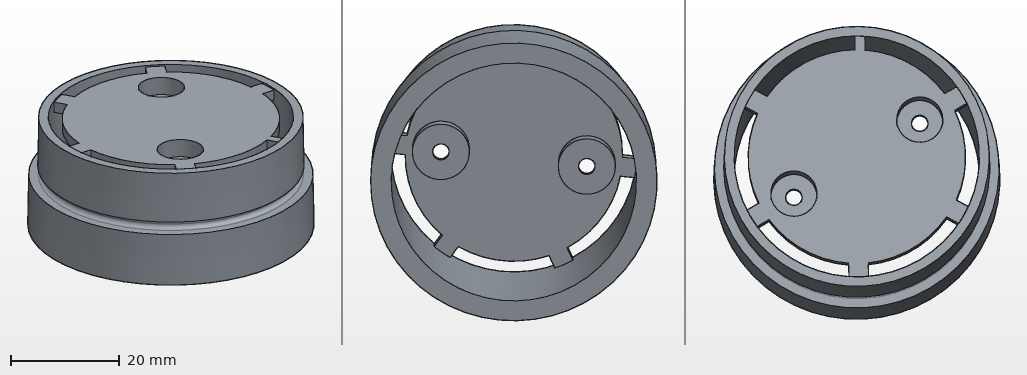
import cadquery as cq
import math

height = 21.8
base_bottom_diameter = 52.7
base_top_diameter = 52.35
base_height = 10.2
groove_top = 11.95
groove_diameter = 47.05
groove_fillet = 0.9
collar_bottom_diameter = 49.0
collar_top_diameter = 48.7
bore_diameter = 45.1

plate_recess = 0.3
plate_thickness = 2.05
plate_diameter = 40.0
tab_width = 3.65
key_tab_angle = 30
tab_count = 6

screw_circle_radius = 13.5
screw_angles = (150, 330)
screw_hole_diameter = 3.0
cup_diameter = 8.5
cup_outer_diameter = 10.5
cup_depth = 3.5

plate_top = height - plate_recess
plate_bottom = plate_top - plate_thickness
cup_floor = plate_top - cup_depth
cup_wall = (cup_outer_diameter - cup_diameter) / 2
cup_bottom = cup_floor - cup_wall
tab_overlap = 0.25


def cylinder(diameter, bottom, top):
    return cq.Workplane("XY").workplane(offset=bottom).circle(diameter / 2).extrude(top - bottom)


def make_shell():
    """Revolve the wall section, with a concave fillet at the foot of the groove."""
    groove_radius = groove_diameter / 2
    fillet_offset = groove_fillet * (1 - math.sqrt(0.5))
    return (
        cq.Workplane("XZ")
        .moveTo(bore_diameter / 2, 0)
        .lineTo(base_bottom_diameter / 2, 0)
        .lineTo(base_top_diameter / 2, base_height)
        .lineTo(groove_radius + groove_fillet, base_height)
        .threePointArc(
            (groove_radius + fillet_offset, base_height + fillet_offset),
            (groove_radius, base_height + groove_fillet),
        )
        .lineTo(groove_radius, groove_top)
        .lineTo(collar_bottom_diameter / 2, groove_top)
        .lineTo(collar_top_diameter / 2, height)
        .lineTo(bore_diameter / 2, height)
        .close()
        .revolve(360, (0, 0, 0), (0, 1, 0))
    )


def make_tab(angle):
    """Radial bar from the plate centre into the shell; the key tab keeps only its clockwise half."""
    is_key = angle == key_tab_angle
    width = tab_width / 2 if is_key else tab_width
    side_shift = -width / 2 if is_key else 0
    length = bore_diameter / 2 + tab_overlap
    return (
        cq.Workplane("XY")
        .box(length, width, plate_thickness, centered=(False, True, False))
        .translate((0, side_shift, plate_bottom))
        .rotate((0, 0, 0), (0, 0, 1), angle)
    )


def at_screw(body, angle):
    x = screw_circle_radius * math.cos(math.radians(angle))
    y = screw_circle_radius * math.sin(math.radians(angle))
    return body.translate((x, y, 0))


result = make_shell().union(cylinder(plate_diameter, plate_bottom, plate_top))
for index in range(tab_count):
    result = result.union(make_tab(key_tab_angle + index * 360 / tab_count))

for angle in screw_angles:
    result = result.union(at_screw(cylinder(cup_outer_diameter, cup_bottom, plate_top), angle))
    result = result.cut(at_screw(cylinder(cup_diameter, cup_floor, plate_top), angle))
    result = result.cut(at_screw(cylinder(screw_hole_diameter, cup_bottom, cup_floor), angle))